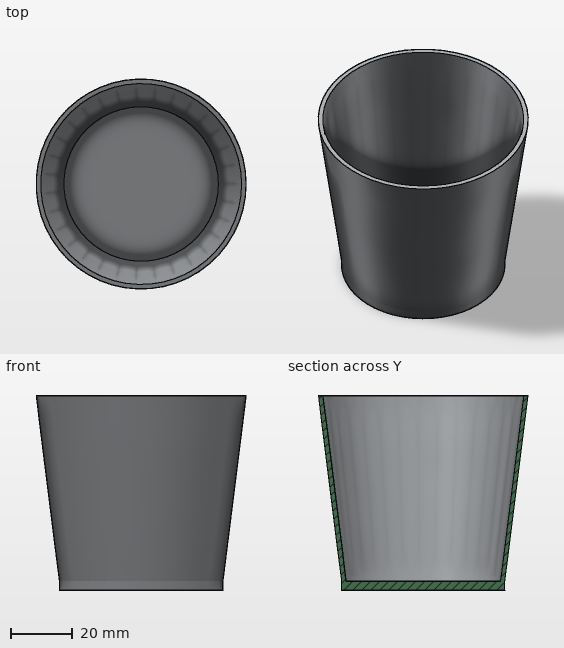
import cadquery as cq

rim_diameter = 68.0
base_diameter = 53.0
height = 63.0
base_height = 3.0
wall = 1.5

rim_radius = rim_diameter / 2
base_radius = base_diameter / 2

half_section = (
    cq.Workplane("XZ")
    .moveTo(0, 0)
    .lineTo(base_radius, 0)
    .lineTo(base_radius, base_height)
    .lineTo(rim_radius, height)
    .lineTo(rim_radius - wall, height)
    .lineTo(base_radius - wall, base_height)
    .lineTo(0, base_height)
    .close()
)

result = half_section.revolve(360, (0, 0, 0), (0, 1, 0))